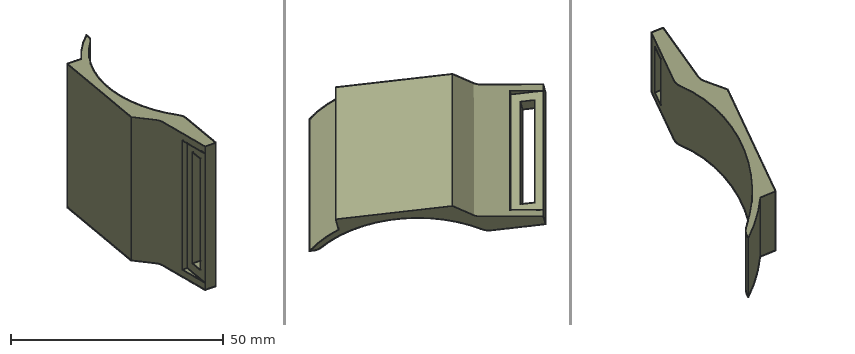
import cadquery as cq
import math

length = 56.6
height = 40.0
body_depth = 10.7

block_start = 8.2
block_length = 28.0
block_end = block_start + block_length
block_middle = block_start + block_length / 2

cradle_radius = 29.0
cradle_floor = 2.55
lip_radius = 30.7
lip_root_y = 3.95
cradle_axis_y = cradle_floor + cradle_radius

wing_tip_thickness = 3.05
wing_angle = math.radians(10)
ramp_angle = math.radians(45)
bend_radius = 3.0

slot_start = 51.1
slot_width = 3.4
slot_height = 31.0
recess_width = 7.75
recess_height = 36.0

wing_tip_y = body_depth - wing_tip_thickness

wing_root_y_at_block_end = wing_tip_y - (length - block_end) * math.tan(wing_angle)
ramp_run = wing_root_y_at_block_end / (math.tan(ramp_angle) - math.tan(wing_angle))
wing_root = (block_end + ramp_run, ramp_run * math.tan(ramp_angle))

cradle_half_width = math.sqrt(cradle_radius**2 - (cradle_axis_y - body_depth) ** 2)
cradle_left = (block_middle - cradle_half_width, body_depth)
cradle_right = (block_middle + cradle_half_width, body_depth)


def make_body():
    """Constant profile extruded along Z, with its three bends rounded."""
    body = (
        cq.Workplane("XY")
        .moveTo(0, body_depth)
        .radiusArc((block_start, lip_root_y), -lip_radius)
        .lineTo(block_start, 0)
        .lineTo(block_end, 0)
        .lineTo(*wing_root)
        .lineTo(length, wing_tip_y)
        .lineTo(length, body_depth)
        .lineTo(*cradle_right)
        .threePointArc((block_middle, cradle_floor), cradle_left)
        .close()
        .extrude(height)
    )
    for x, y in (wing_root, cradle_left, cradle_right):
        corner_edge = cq.selectors.NearestToPointSelector((x, y, height / 2))
        body = body.edges("|Z").edges(corner_edge).fillet(bend_radius)
    return body


def make_box(x_start, x_size, y_size, z_size):
    """Box rising from the Y = 0 plane, centred on the mid-height of the part."""
    z_start = (height - z_size) / 2
    box = cq.Workplane("XY").box(x_size, y_size, z_size, centered=False)
    return box.translate((x_start, 0, z_start))


recess = make_box(length - recess_width, recess_width, wing_tip_y, recess_height)
slot = make_box(slot_start, slot_width, body_depth, slot_height)

result = make_body().cut(recess).cut(slot)